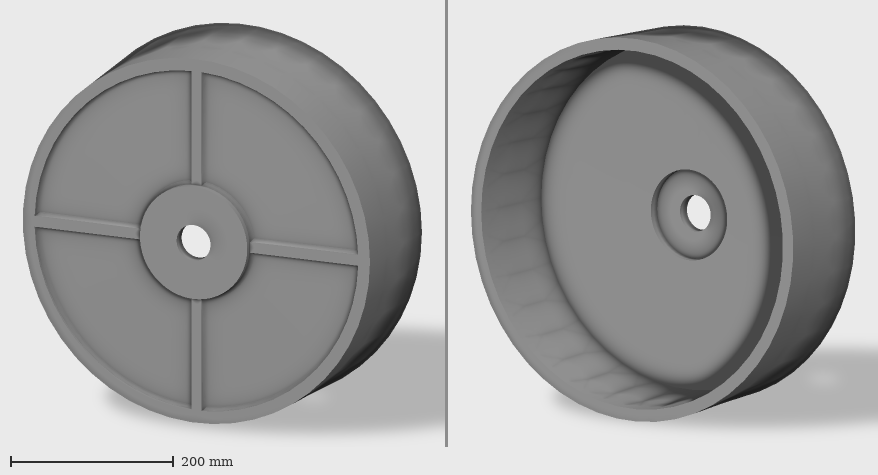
import cadquery as cq

back_diameter = 477.0
front_diameter = 464.5
rim_depth = 145.5
hub_diameter = 143.5
hub_height = 8.5
bore_diameter = 45.5

rib_width = 13.5
pocket_outer_radius = 216.5
pocket_inner_depth = 5.2
pocket_outer_depth = 7.5
pocket_fillet = 4.5

wall_thickness = 15.5
hub_recess_radius = hub_diameter / 2 - wall_thickness

front_radius = front_diameter / 2
back_radius = back_diameter / 2
hub_radius = hub_diameter / 2
bore_radius = bore_diameter / 2


def revolve_about_y(points):
    """Revolve a closed (radius, y) outline about the Y axis."""
    return cq.Workplane("XY").polyline(points).close().revolve(360, (0, 0, 0), (0, 1, 0))


def make_shell():
    """Tapered rim, hollow at the back, with the front web, raised hub and bore."""
    hub_back = wall_thickness - hub_height
    return revolve_about_y([
        (bore_radius, -hub_height),
        (hub_radius, -hub_height),
        (hub_radius, 0),
        (front_radius, 0),
        (back_radius, rim_depth),
        (back_radius - wall_thickness, rim_depth),
        (front_radius - wall_thickness, pocket_outer_depth + wall_thickness),
        (hub_recess_radius, pocket_inner_depth + wall_thickness),
        (hub_recess_radius, hub_back),
        (bore_radius, hub_back),
    ])


def make_pocket():
    """Cutter for the +X +Z pocket, with a conical floor rounded into its walls."""
    ring = revolve_about_y([
        (hub_radius, 0),
        (pocket_outer_radius, 0),
        (pocket_outer_radius, pocket_outer_depth),
        (hub_radius, pocket_inner_depth),
    ])
    quarter = (
        cq.Workplane("XY")
        .box(back_radius, rim_depth, back_radius, centered=False)
        .translate((rib_width / 2, 0, rib_width / 2))
    )
    return ring.intersect(quarter).faces("%CONE").edges().fillet(pocket_fillet)


result = make_shell()
pocket = make_pocket()
for quarter_turn in range(4):
    result = result.cut(pocket.rotate((0, 0, 0), (0, 1, 0), 90 * quarter_turn))